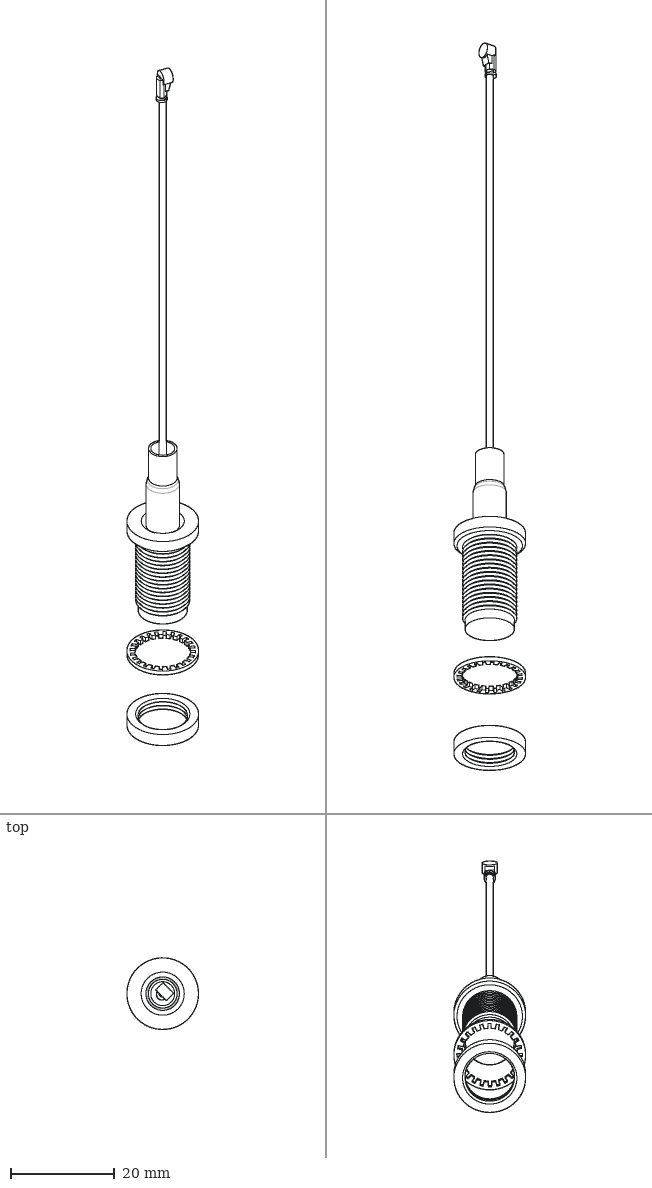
import cadquery as cq
import math

total_height = 154.3
outer_radius = 7.0

nut_height = 2.6
nut_thread_turns = 3
washer_bottom = 16.7
washer_thickness = 1.0
washer_bore_radius = 5.4
washer_teeth = 24
tooth_gap_width = 0.6
tooth_gap_root_radius = 6.3

housing_bottom = 27.2
flange_bottom = 45.4
flange_top = 48.1
flange_chamfer_height = 0.5
flange_chamfer_width = 0.6
thread_crest_radius = 5.2
thread_depth = 0.5
thread_pitch = 0.91
first_crest_drop = 0.35
thread_crests = 18
thread_root_radius = thread_crest_radius - thread_depth

countersink_radius = 4.2
ferrule_radius = 3.2
ferrule_taper_bottom = 57.0
ferrule_taper_top = 57.9
ferrule_taper_width = 0.23
ferrule_top = 58.3

shrink_radius = 2.8
shrink_bore_radius = 2.3
shrink_top = 65.3
cable_radius = 0.7
cable_bottom = flange_top

cap_radius = 1.47
cap_back = -0.5
cap_front = 1.5
crimp_radius = 1.1
crimp_offset = 0.23
crimp_sides = 8
gusset_bottom = 150.0
gusset_width = 1.9
crimp_bottom = 148.8
band_bottom = 147.7
band_height = 0.5
cap_axis_height = total_height - cap_radius
facing_angle = 45
facing = cq.Vector(math.cos(math.radians(facing_angle)), math.sin(math.radians(facing_angle)), 0)


def revolved(profile):
    """Solid of revolution about Z from (radius, height) points."""
    return cq.Workplane("XZ").polyline(profile).close().revolve(360, (0, 0, 0), (0, 1, 0))


def disc(radius, bottom, top):
    """Upright cylinder on the Z axis."""
    return cq.Workplane("XY").workplane(offset=bottom).circle(radius).extrude(top - bottom)


def make_nut():
    """Round nut with annular thread grooves in its bore, opening on a crest at both ends."""
    pitch = nut_height / nut_thread_turns
    bore = [(thread_crest_radius, 0)]
    for turn in range(nut_thread_turns):
        bore.append((thread_root_radius, (turn + 0.5) * pitch))
        bore.append((thread_crest_radius, (turn + 1) * pitch))
    return revolved([(outer_radius, 0)] + bore + [(outer_radius, nut_height)])


def make_washer():
    """Internal-tooth lock washer: a ring with radial gaps cut outward from its bore."""
    washer_top = washer_bottom + washer_thickness
    washer = disc(outer_radius, washer_bottom, washer_top)
    washer = washer.cut(disc(washer_bore_radius, washer_bottom, washer_top))
    gap = (
        cq.Workplane("XY")
        .workplane(offset=washer_bottom)
        .rect(tooth_gap_root_radius, tooth_gap_width)
        .extrude(washer_thickness)
        .translate((tooth_gap_root_radius / 2, 0, 0))
    )
    tooth_angle = 360 / washer_teeth
    for tooth in range(washer_teeth):
        washer = washer.cut(gap.rotate((0, 0, 0), (0, 0, 1), facing_angle + tooth * tooth_angle))
    return washer


def make_housing():
    """Flanged housing whose thread is a stack of annular V ridges, with a hole for the ferrule."""
    profile = [
        (0, flange_top),
        (outer_radius, flange_top),
        (outer_radius, flange_bottom + flange_chamfer_height),
        (outer_radius - flange_chamfer_width, flange_bottom),
        (thread_root_radius, flange_bottom),
    ]
    first_crest = flange_bottom - first_crest_drop
    for crest in range(thread_crests):
        crest_height = first_crest - crest * thread_pitch
        profile.append((thread_crest_radius, crest_height))
        profile.append((thread_root_radius, crest_height - thread_pitch / 2))
    profile.append((thread_root_radius, housing_bottom))
    profile.append((0, housing_bottom))
    return revolved(profile).cut(ferrule_hole())


def ferrule_hole():
    """Blind hole through the flange with a 45 degree countersink at its mouth."""
    countersink_depth = countersink_radius - ferrule_radius
    return revolved(
        [
            (0, flange_bottom),
            (ferrule_radius, flange_bottom),
            (ferrule_radius, flange_top - countersink_depth),
            (countersink_radius, flange_top),
            (0, flange_top),
        ]
    )


def make_ferrule():
    """Sleeve with a two-step tapered top, bored for the cable."""
    profile = [
        (0, flange_bottom),
        (ferrule_radius, flange_bottom),
        (ferrule_radius, ferrule_taper_bottom),
        (ferrule_radius - ferrule_taper_width, ferrule_taper_top),
        (shrink_radius, ferrule_top),
        (0, ferrule_top),
    ]
    return revolved(profile).cut(disc(cable_radius, cable_bottom, ferrule_top))


def make_shrink():
    """Thin open tube standing on the ferrule, clear of the cable."""
    return disc(shrink_radius, ferrule_top, shrink_top).cut(disc(shrink_bore_radius, ferrule_top, shrink_top))


def make_cable():
    return disc(cable_radius, cable_bottom, cap_axis_height)


def make_plug():
    """Cap with its axis along +X+Y, joined by a sloping gusset to the crimp barrel."""
    cap_centre = cq.Vector(0, 0, cap_axis_height)
    cap = cq.Solid.makeCylinder(cap_radius, cap_front - cap_back, cap_centre + facing * cap_back, facing)
    barrel = (
        cq.Workplane("XY")
        .workplane(offset=crimp_bottom)
        .polygon(crimp_sides, 2 * crimp_radius)
        .extrude(cap_axis_height - crimp_bottom)
        .translate(facing * -crimp_offset)
    )
    gusset_outline = [
        (0, gusset_bottom),
        (crimp_radius - crimp_offset, gusset_bottom),
        (cap_front, cap_axis_height),
        (0, cap_axis_height),
    ]
    gusset = (
        cq.Workplane("XZ")
        .polyline(gusset_outline)
        .close()
        .extrude(gusset_width / 2, both=True)
        .rotate((0, 0, 0), (0, 0, 1), facing_angle)
    )
    return barrel.union(gusset).union(cq.Workplane(cap)).cut(make_cable())


def make_crimp_band():
    """Ring round the cable, set off-centre like the crimp barrel above it."""
    band = disc(crimp_radius, band_bottom, band_bottom + band_height).translate(facing * -crimp_offset)
    return band.cut(make_cable())


nut = make_nut()
washer = make_washer()
housing = make_housing()
ferrule = make_ferrule()
shrink = make_shrink()
cable = make_cable()
plug = make_plug()
crimp_band = make_crimp_band()

bodies = [nut, washer, housing, ferrule, shrink, cable, plug, crimp_band]
result = cq.Compound.makeCompound([body.val() for body in bodies])